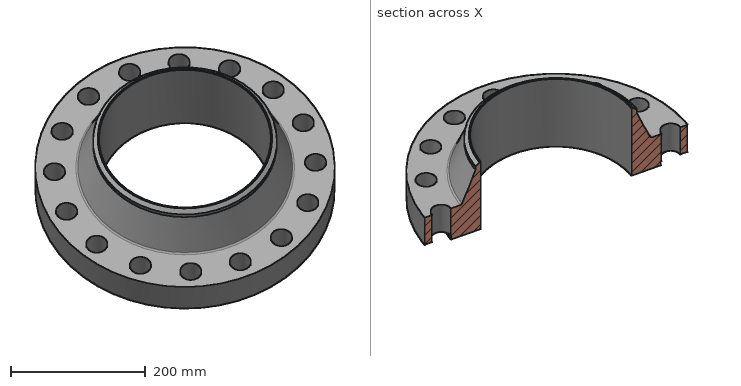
import cadquery as cq

FLANGE_DIAMETER = 444.5
TOTAL_HEIGHT = 132.0
BORE_DIAMETER = 254.5

FACE_DIAMETER = 355.0
FACE_HEIGHT = 8.0

PLATE_THICKNESS = 53.8

HUB_BASE_DIAMETER = 320.0
NECK_DIAMETER = 273.0
NECK_LENGTH = 12.0
HUB_FILLET = 3.0
WELD_LAND_WIDTH = 2.0
WELD_BEVEL_HEIGHT = 5.5

BOLT_COUNT = 16
BOLT_CIRCLE_DIAMETER = 387.5
BOLT_HOLE_DIAMETER = 31.5

PLATE_TOP = FACE_HEIGHT + PLATE_THICKNESS


def flange_body():
    """Revolve the half section, sealing face at Z = 0 and welding end on top."""
    bore_radius = BORE_DIAMETER / 2
    face_radius = FACE_DIAMETER / 2
    flange_radius = FLANGE_DIAMETER / 2
    neck_radius = NECK_DIAMETER / 2
    section = (
        cq.Workplane("XZ")
        .moveTo(bore_radius, 0)
        .lineTo(face_radius, 0)
        .lineTo(face_radius, FACE_HEIGHT)
        .lineTo(flange_radius, FACE_HEIGHT)
        .lineTo(flange_radius, PLATE_TOP)
        .lineTo(HUB_BASE_DIAMETER / 2, PLATE_TOP)
        .lineTo(neck_radius, TOTAL_HEIGHT - NECK_LENGTH)
        .lineTo(neck_radius, TOTAL_HEIGHT - WELD_BEVEL_HEIGHT)
        .lineTo(bore_radius + WELD_LAND_WIDTH, TOTAL_HEIGHT)
        .lineTo(bore_radius, TOTAL_HEIGHT)
        .close()
    )
    return section.revolve(360, (0, 0, 0), (0, 1, 0))


def round_hub_base(body):
    """Round the inside corner where the hub meets the plate."""
    smallest_circle = cq.selectors.RadiusNthSelector(0)
    plate_top_face = body.faces(cq.selectors.NearestToPointSelector((0, 0, PLATE_TOP)))
    return plate_top_face.edges(smallest_circle).fillet(HUB_FILLET)


def bolt_holes():
    """Cylinders on the bolt circle, passing through the plate."""
    return (
        cq.Workplane("XY")
        .polarArray(BOLT_CIRCLE_DIAMETER / 2, 0, 360, BOLT_COUNT)
        .circle(BOLT_HOLE_DIAMETER / 2)
        .extrude(PLATE_TOP)
    )


result = round_hub_base(flange_body()).cut(bolt_holes())